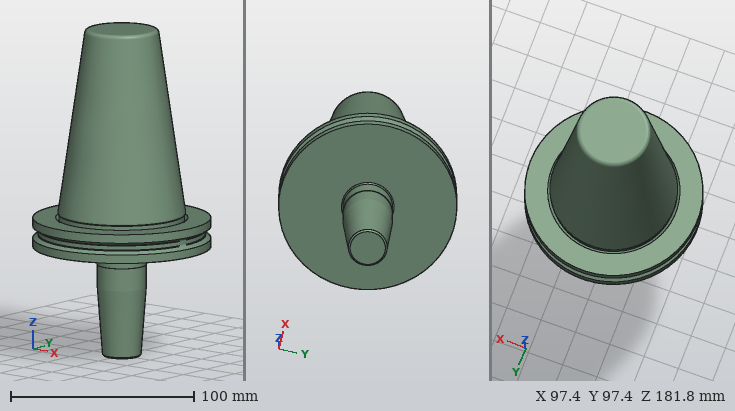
import cadquery as cq
import math

total_height = 181.8
gauge_height = 80.0
land_bottom = 79.2
flange_top = 76.9
flange_bottom = 60.9
collar_bottom = 50.9
nose_cone_top = 38.2

gauge_radius = 34.9
taper_slope = 7 / 48
taper_top_radius = gauge_radius - taper_slope * (total_height - gauge_height)
taper_top_fillet = 2.4

neck_radius = 34.4
relief_radius = 36.2
relief_bottom = flange_top - (relief_radius - neck_radius)
neck_top = land_bottom - (gauge_radius - neck_radius)

flange_radius = 48.7
groove_floor_radius = 45.6
groove_floor_fillet = 0.5
flange_lip = 4.7
groove_side_run = (flange_radius - groove_floor_radius) * math.tan(math.radians(30))
groove_top = flange_top - flange_lip
groove_bottom = flange_bottom + flange_lip
groove_floor_top = groove_top - groove_side_run
groove_floor_bottom = groove_bottom + groove_side_run

collar_radius = 13.6
collar_flare = 0.7
shank_radius = 13.5
nose_tip_radius = 10.5
nose_chamfer = 0.9


def revolve(points):
    """Turn a half profile of (radius, height) points about the Z axis."""
    profile = cq.Workplane("XZ").polyline(points).close()
    return profile.revolve(360, (0, 0, 0), (0, 1, 0))


def make_taper():
    taper = revolve([
        (0, relief_bottom),
        (neck_radius, relief_bottom),
        (neck_radius, neck_top),
        (gauge_radius, land_bottom),
        (gauge_radius, gauge_height),
        (taper_top_radius, total_height),
        (0, total_height),
    ])
    return taper.faces(">Z").edges().fillet(taper_top_fillet)


def make_flange():
    flange = revolve([
        (0, flange_bottom),
        (flange_radius, flange_bottom),
        (flange_radius, groove_bottom),
        (groove_floor_radius, groove_floor_bottom),
        (groove_floor_radius, groove_floor_top),
        (flange_radius, groove_top),
        (flange_radius, flange_top),
        (relief_radius, flange_top),
        (neck_radius, relief_bottom),
        (0, relief_bottom),
    ])
    floor_zone = cq.selectors.BoxSelector(
        (-flange_radius, -flange_radius, groove_bottom + groove_side_run / 2),
        (flange_radius, flange_radius, groove_top - groove_side_run / 2),
    )
    return flange.edges("%CIRCLE").edges(floor_zone).fillet(groove_floor_fillet)


def make_shank():
    shank = revolve([
        (0, 0),
        (nose_tip_radius, 0),
        (shank_radius, nose_cone_top),
        (shank_radius, collar_bottom),
        (collar_radius, collar_bottom),
        (collar_radius, flange_bottom - collar_flare),
        (collar_radius + collar_flare, flange_bottom),
        (0, flange_bottom),
    ])
    return shank.faces("<Z").edges().chamfer(nose_chamfer)


result = make_taper().union(make_flange()).union(make_shank())